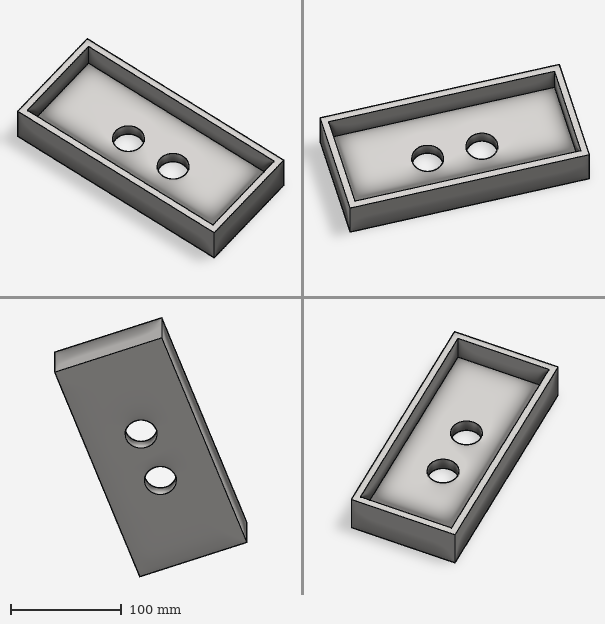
import cadquery as cq

length = 223.5
width = 102.8
height = 38.0

wall = 6.3
floor_thickness = 12.7

hole_diameter = 28.5
hole_spacing = 50.7

block = cq.Workplane("XY").box(length, width, height, centered=(True, True, False))

pocket = (
    cq.Workplane("XY")
    .workplane(offset=floor_thickness)
    .rect(length - 2 * wall, width - 2 * wall)
    .extrude(height - floor_thickness)
)

floor_holes = (
    cq.Workplane("XY")
    .pushPoints([(-hole_spacing / 2, 0), (hole_spacing / 2, 0)])
    .circle(hole_diameter / 2)
    .extrude(floor_thickness)
)

result = block.cut(pocket).cut(floor_holes)